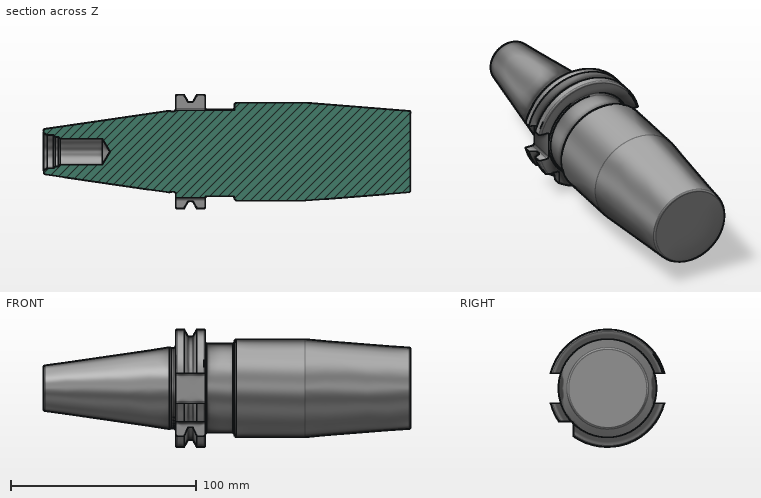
import cadquery as cq
import math

OVERALL_LENGTH = 198.2

TAPER_RATIO = 7 / 24
GAUGE_RADIUS = 22.2
GAUGE_X = 68.2
TAPER_END_X = 68.0
TAPER_TIP_FILLET = 1.2
RELIEF_RADIUS = 21.8
RELIEF_STEP_LENGTH = 1.0
RELIEF_FILLET = 1.2

FLANGE_X = 71.4
FLANGE_WIDTH = 16.0
FLANGE_DIAMETER = 63.6
FLANGE_FILLET = 1.0
GROOVE_WIDTH = 7.0
GROOVE_DEPTH = 3.8
GROOVE_FLANK_ANGLE = 30.0
GROOVE_FILLET = 0.8

NECK_RADIUS = 24.2
NECK_FILLET = 0.8
BODY_X = 103.0
BODY_RADIUS = 26.5
BODY_CHAMFER = 1.0
NOSE_TAPER_X = 141.2
NOSE_RADIUS = 22.0
NOSE_FILLET = 1.0

BORE_MOUTH_RADIUS = 10.1
COUNTERSINK_ANGLE = 30.0
PILOT_RADIUS = 9.0
PILOT_DEPTH = 5.4
RECESS_RADIUS = 8.0
RECESS_DEPTH = 8.1
STEP_ANGLE = 45.0
CORE_RADIUS = 7.0
CORE_DEPTH = 31.7
DRILL_TIP_ANGLE = 59.0

SLOT_WIDTH = 16.0
SLOT_FILLET = 1.0
FRONT_SLOT_FLOOR = 25.0
BACK_SLOT_FLOOR = 22.5
NOTCH_Y = 18.5
NOTCH_Z = 18.0
NOTCH_FILLET = 1.2

flange_radius = FLANGE_DIAMETER / 2
taper_slope = TAPER_RATIO / 2
taper_tip_radius = GAUGE_RADIUS - GAUGE_X * taper_slope
taper_end_radius = GAUGE_RADIUS - (GAUGE_X - TAPER_END_X) * taper_slope
flange_end_x = FLANGE_X + FLANGE_WIDTH
groove_x = FLANGE_X + FLANGE_WIDTH / 2
groove_floor_width = GROOVE_WIDTH - 2 * GROOVE_DEPTH * math.tan(math.radians(GROOVE_FLANK_ANGLE))


def revolve_about_x(outline):
    """Turn a closed outline in the XY plane (y is the radius) around the X axis."""
    return outline.close().revolve(360, (0, 0, 0), (1, 0, 0))


def make_shank():
    """Taper with a small relief that blends into the flange face."""
    taper = revolve_about_x(
        cq.Workplane("XY")
        .moveTo(0, 0)
        .lineTo(0, taper_tip_radius)
        .lineTo(TAPER_END_X, taper_end_radius)
        .lineTo(TAPER_END_X, 0)
    )
    taper = taper.faces("<X").edges().fillet(TAPER_TIP_FILLET)
    relief = revolve_about_x(
        cq.Workplane("XY")
        .moveTo(TAPER_END_X, 0)
        .lineTo(TAPER_END_X, taper_end_radius)
        .lineTo(TAPER_END_X + RELIEF_STEP_LENGTH, RELIEF_RADIUS)
        .lineTo(FLANGE_X - RELIEF_FILLET, RELIEF_RADIUS)
        .radiusArc((FLANGE_X, RELIEF_RADIUS + RELIEF_FILLET), -RELIEF_FILLET)
        .lineTo(FLANGE_X, 0)
    )
    return taper.union(relief)


def make_flange():
    """Rounded disc with a V-groove around its rim, filleted where the flanks meet the floor."""
    disc = cq.Workplane("YZ", origin=(FLANGE_X, 0, 0)).circle(flange_radius).extrude(FLANGE_WIDTH)
    disc = disc.edges().fillet(FLANGE_FILLET)
    groove = revolve_about_x(
        cq.Workplane("XY")
        .moveTo(groove_x - GROOVE_WIDTH / 2, flange_radius)
        .lineTo(groove_x - groove_floor_width / 2, flange_radius - GROOVE_DEPTH)
        .lineTo(groove_x + groove_floor_width / 2, flange_radius - GROOVE_DEPTH)
        .lineTo(groove_x + GROOVE_WIDTH / 2, flange_radius)
    )
    smallest_circles = cq.selectors.RadiusNthSelector(0)
    groove = groove.edges("%CIRCLE").edges(smallest_circles).fillet(GROOVE_FILLET)
    return disc.cut(groove)


def make_neck():
    """Cylinder between flange and body, with a fillet at each end."""
    flared_radius = NECK_RADIUS + NECK_FILLET
    return revolve_about_x(
        cq.Workplane("XY")
        .moveTo(flange_end_x, 0)
        .lineTo(flange_end_x, flared_radius)
        .radiusArc((flange_end_x + NECK_FILLET, NECK_RADIUS), -NECK_FILLET)
        .lineTo(BODY_X - NECK_FILLET, NECK_RADIUS)
        .radiusArc((BODY_X, flared_radius), -NECK_FILLET)
        .lineTo(BODY_X, 0)
    )


def make_body():
    """Cylindrical clamping body that narrows towards a rounded nose."""
    body = revolve_about_x(
        cq.Workplane("XY")
        .moveTo(BODY_X, 0)
        .lineTo(BODY_X, BODY_RADIUS)
        .lineTo(NOSE_TAPER_X, BODY_RADIUS)
        .lineTo(OVERALL_LENGTH, NOSE_RADIUS)
        .lineTo(OVERALL_LENGTH, 0)
    )
    body = body.faces("<X").edges().chamfer(BODY_CHAMFER)
    return body.faces(">X").edges().fillet(NOSE_FILLET)


def make_pull_stud_bore():
    """Countersunk bore that steps down through cones to the core hole and its drill tip."""
    step_slope = math.tan(math.radians(STEP_ANGLE))
    pilot_x = (BORE_MOUTH_RADIUS - PILOT_RADIUS) / math.tan(math.radians(COUNTERSINK_ANGLE))
    recess_x = PILOT_DEPTH + (PILOT_RADIUS - RECESS_RADIUS) / step_slope
    core_x = RECESS_DEPTH + (RECESS_RADIUS - CORE_RADIUS) / step_slope
    tip_x = CORE_DEPTH + CORE_RADIUS / math.tan(math.radians(DRILL_TIP_ANGLE))
    return revolve_about_x(
        cq.Workplane("XY")
        .moveTo(0, 0)
        .lineTo(0, BORE_MOUTH_RADIUS)
        .lineTo(pilot_x, PILOT_RADIUS)
        .lineTo(PILOT_DEPTH, PILOT_RADIUS)
        .lineTo(recess_x, RECESS_RADIUS)
        .lineTo(RECESS_DEPTH, RECESS_RADIUS)
        .lineTo(core_x, CORE_RADIUS)
        .lineTo(CORE_DEPTH, CORE_RADIUS)
        .lineTo(tip_x, 0)
    )


def make_drive_slot(side, floor, end_x):
    """Slot cutter on the +Y (side = 1) or -Y (side = -1) side, rounded along its floor."""
    height = flange_radius
    cutter = cq.Workplane("XY").box(
        end_x - FLANGE_X, height, SLOT_WIDTH, centered=(False, True, True)
    )
    floor_edges = "|X and <Y" if side > 0 else "|X and >Y"
    cutter = cutter.edges(floor_edges).fillet(SLOT_FILLET)
    return cutter.translate((FLANGE_X, side * (floor + height / 2), 0))


def make_orientation_notch():
    """Corner cutter on the -Y, -Z side of the flange, rounded along its inner edge."""
    size = flange_radius
    cutter = cq.Workplane("XY").box(FLANGE_WIDTH, size, size, centered=False)
    cutter = cutter.edges("|X and >Y and >Z").fillet(NOTCH_FILLET)
    return cutter.translate((FLANGE_X, -NOTCH_Y - size, -NOTCH_Z - size))


result = (
    make_flange()
    .union(make_neck())
    .cut(make_drive_slot(-1, FRONT_SLOT_FLOOR, flange_end_x))
    .cut(make_drive_slot(1, BACK_SLOT_FLOOR, BODY_X))
    .cut(make_orientation_notch())
    .union(make_shank())
    .union(make_body())
    .cut(make_pull_stud_bore())
)